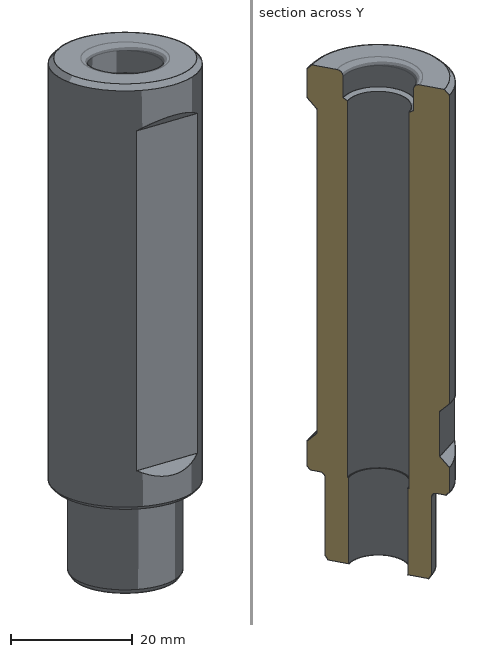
import cadquery as cq
import math

length = 91.0
body_radius = 25.4 / 2
shank_radius = 19.0 / 2
shoulder_height = 16.0

top_chamfer = 0.9
shoulder_chamfer = 0.6
shank_fillet = 0.8
shank_chamfer_width = 0.55
shank_chamfer_height = 0.8

shank_bore_radius = 10.5 / 2
body_bore_radius = 10.9 / 2
counterbore_radius = 12.5 / 2
counterbore_depth = 5.0
counterbore_floor_angle = 30.0
bore_mouth_fillet = 1.1

flat_depth = 1.7
flat_bottom = 23.0
short_flat_top = 31.3
long_flat_top = 83.0


def make_turned_body():
    """Revolve the body, shoulder and shank about the Z axis."""
    profile = (
        cq.Workplane("XZ")
        .moveTo(0, 0)
        .lineTo(shank_radius - shank_chamfer_width, 0)
        .lineTo(shank_radius, shank_chamfer_height)
        .lineTo(shank_radius, shoulder_height - shank_fillet)
        .radiusArc((shank_radius + shank_fillet, shoulder_height), shank_fillet)
        .lineTo(body_radius - shoulder_chamfer, shoulder_height)
        .lineTo(body_radius, shoulder_height + shoulder_chamfer)
        .lineTo(body_radius, length - top_chamfer)
        .lineTo(body_radius - top_chamfer, length)
        .lineTo(0, length)
        .close()
    )
    return profile.revolve(360, (0, 0), (0, 1))


def make_bore():
    """Through bore, narrower in the shank, with a cone-floored counterbore and a rounded mouth."""
    floor_width = counterbore_radius - body_bore_radius
    floor_drop = floor_width * math.tan(math.radians(counterbore_floor_angle))
    profile = (
        cq.Workplane("XZ")
        .moveTo(0, 0)
        .lineTo(shank_bore_radius, 0)
        .lineTo(shank_bore_radius, shoulder_height)
        .lineTo(body_bore_radius, shoulder_height)
        .lineTo(body_bore_radius, length - counterbore_depth - floor_drop)
        .lineTo(counterbore_radius, length - counterbore_depth)
        .lineTo(counterbore_radius, length - bore_mouth_fillet)
        .radiusArc((counterbore_radius + bore_mouth_fillet, length), bore_mouth_fillet)
        .lineTo(0, length)
        .close()
    )
    return profile.revolve(360, (0, 0), (0, 1))


def make_flat(side, top):
    """Cutter for a flat on the +X (side=1) or -X (side=-1) of the body."""
    return (
        cq.Workplane("XZ")
        .polyline([
            (side * (body_radius - flat_depth), flat_bottom),
            (side * body_radius, flat_bottom - flat_depth),
            (side * body_radius, top + flat_depth),
            (side * (body_radius - flat_depth), top),
        ])
        .close()
        .extrude(body_radius, both=True)
    )


result = (
    make_turned_body()
    .cut(make_bore())
    .cut(make_flat(-1, short_flat_top))
    .cut(make_flat(1, long_flat_top))
)